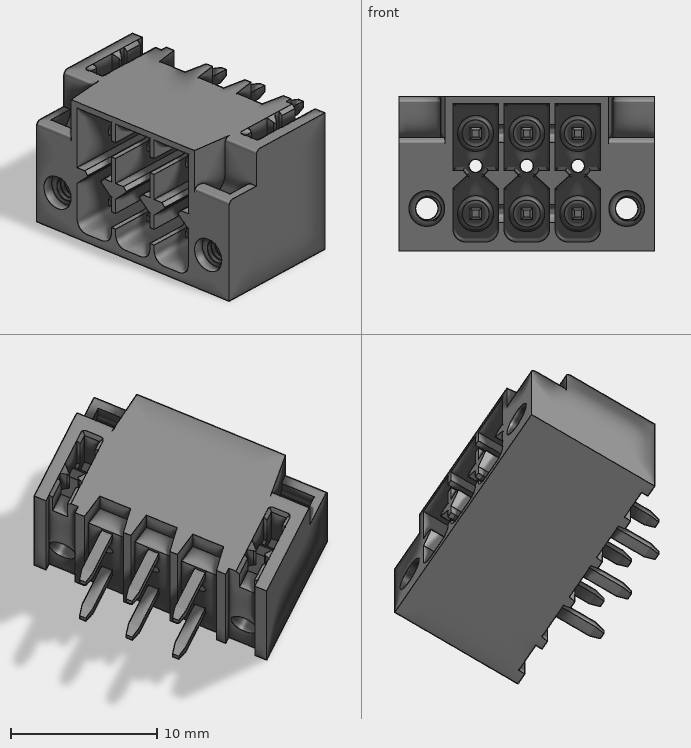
import cadquery as cq

WIDTH = 17.5
DEPTH = 10.0
HEIGHT = 10.6
HALF_WIDTH = WIDTH / 2

COLUMN_PITCH = 3.5
COLUMN_XS = [-COLUMN_PITCH, 0.0, COLUMN_PITCH]
LOWER_PIN_Z = 2.57
ROW_PITCH = 5.5
PIN_ZS = [LOWER_PIN_Z, LOWER_PIN_Z + ROW_PITCH]

PIN_SIZE = 0.8
PIN_TIP_SIZE = 0.47
PIN_TIP_LENGTH = 0.79
PIN_FRONT_Y = 1.75
PIN_BACK_Y = 13.5

CAVITY_DEPTH = 7.0
CAVITY_HALF_WIDTH = 1.55
CAVITY_BOTTOM_Z = 0.63
CAVITY_TOP_Z = 10.13
CAVITY_CORNER_RADIUS = 0.9
CAVITY_FLOOR_FILLET = 0.25
NECK_LEDGE_HALF_GAP = 0.85
NECK_TIP_HALF_GAP = 0.6
NECK_LEDGE_Z = 5.51
NECK_TIP_TOP_Z = 5.23
NECK_TIP_BOTTOM_Z = 5.16
NECK_FOOT_Z = 4.29
VENT_DIAMETER = 0.9
VENT_Z = 5.85

BOSS_DIAMETER = 1.84
BOSS_HEIGHT = 0.7
BOSS_FILLET = 0.32

WALL_SLOT_WIDTH = 1.22
WALL_SLOT_DEPTH = 3.85

NOTCH_DEPTH = 2.84
NOTCH_HEIGHT = 2.8
NOTCH_WIDTH_FRONT = 3.15
NOTCH_WIDTH_BACK = 2.84
NOTCH_EDGE_RADIUS = 0.42
NOTCH_FLOOR_Z = HEIGHT - NOTCH_HEIGHT

TROUGH_OUTER_WALL = 0.61
TROUGH_RADIUS = 1.42
TROUGH_FLOOR_Z = NOTCH_FLOOR_Z - TROUGH_RADIUS
TROUGH_FLOOR_FRONT_Y = 1.36
TROUGH_STEP_Y = 1.07
TROUGH_STEP_RISE = 0.25
TROUGH_FRONT_Y = 0.8
TROUGH_FRONT_RISE = 0.61
TROUGH_CURVE_SAG = 0.05

INSERT_X = 6.85
INSERT_Z = 2.92
INSERT_DIAMETER = 2.45
INSERT_FRONT_Y = TROUGH_FRONT_Y
INSERT_LENGTH = NOTCH_DEPTH - INSERT_FRONT_Y
INSERT_BORE = 1.52
THREAD_DIAMETER = 2.0
THREAD_PITCH = 0.4
THREAD_HALF_MOUTH = 0.18
THREAD_OVERLAP = 0.02
THREAD_START_ANGLE = 0.0

BACK_RECESS = 0.5
RECESS_Y = DEPTH - BACK_RECESS
SIDE_WALL = 0.9
END_RIB_START = 3.08
PIN_NOTCH_DEPTH = 1.85
PIN_NOTCH_FLOOR_Z = 8.75
PIN_NOTCH_HALF_MOUTH = 1.47
PIN_NOTCH_HALF_FLOOR = 1.15

TOP_SLOT_WIDTH = 1.65
TOP_SLOT_FRONT_Y = 3.97
TOP_SLOT_CORNER_RADIUS = 0.26
TOP_SLOT_CHAMFER = 0.26
GUIDE_FLOOR_Z = 8.4
BAY_BACK_Y = 8.1
BAY_STEP_Y = 6.5
BAY_RAMP_TOP_Y = 5.65
BAY_RAMP_FOOT_Y = 5.3
BAY_FRONT_Y = 4.94
BAY_BACK_FLOOR_Z = 8.05
BAY_MID_FLOOR_Z = 7.7
BAY_FRONT_FLOOR_Z = 7.18
WELL_FLOOR_Z = 6.3

BUMP_Y = 7.26
BUMP_LENGTH = 0.84
BUMP_HEIGHT = 0.49
BUMP_SHOULDER = 0.75 * BUMP_HEIGHT
BUMP_TIP_LENGTH = 0.25


def box(x_range, y_range, z_range):
    """Axis-aligned block between the given limits."""
    sizes = [high - low for low, high in (x_range, y_range, z_range)]
    corner = (x_range[0], y_range[0], z_range[0])
    return cq.Workplane("XY").box(*sizes, centered=False).translate(corner)


def rod(diameter, x, z, y_start, y_end):
    """Cylinder along Y."""
    base = cq.Workplane("XZ", origin=(x, y_start, z))
    return base.circle(diameter / 2).extrude(y_start - y_end)


def leaning_plan():
    """Full-height block beside the shell, with the leaning side wall of the left notch."""
    outer_x = -HALF_WIDTH
    front_x = outer_x + NOTCH_WIDTH_FRONT
    back_y = NOTCH_DEPTH + NOTCH_EDGE_RADIUS
    back_x = front_x - (NOTCH_WIDTH_FRONT - NOTCH_WIDTH_BACK) * back_y / NOTCH_DEPTH
    return (
        cq.Workplane("XY")
        .polyline([(outer_x, 0), (front_x, 0), (back_x, back_y), (outer_x, back_y)])
        .close()
        .extrude(HEIGHT)
    )


def corner_notch():
    """Left notch, which leaves the front edge of its floor and the top edge of its back wall round."""
    radius = NOTCH_EDGE_RADIUS
    profile = (
        cq.Workplane("YZ", origin=(-HALF_WIDTH, 0, 0))
        .moveTo(0, NOTCH_FLOOR_Z - radius)
        .radiusArc((radius, NOTCH_FLOOR_Z), radius)
        .lineTo(NOTCH_DEPTH, NOTCH_FLOOR_Z)
        .lineTo(NOTCH_DEPTH, HEIGHT - radius)
        .radiusArc((NOTCH_DEPTH + radius, HEIGHT), radius)
        .lineTo(0, HEIGHT)
        .close()
        .extrude(HALF_WIDTH)
    )
    return profile.intersect(leaning_plan())


def trough():
    """Trough in the left notch floor: round back, two small hollow steps up to its front wall."""
    step_z = TROUGH_FLOOR_Z + TROUGH_STEP_RISE
    front_z = TROUGH_FLOOR_Z + TROUGH_FRONT_RISE
    profile = (
        cq.Workplane("YZ", origin=(-HALF_WIDTH + TROUGH_OUTER_WALL, 0, 0))
        .moveTo(NOTCH_DEPTH, NOTCH_FLOOR_Z)
        .radiusArc((NOTCH_DEPTH - TROUGH_RADIUS, TROUGH_FLOOR_Z), TROUGH_RADIUS)
        .lineTo(TROUGH_FLOOR_FRONT_Y, TROUGH_FLOOR_Z)
        .sagittaArc((TROUGH_STEP_Y, step_z), TROUGH_CURVE_SAG)
        .sagittaArc((TROUGH_FRONT_Y, front_z), TROUGH_CURVE_SAG)
        .lineTo(TROUGH_FRONT_Y, NOTCH_FLOOR_Z)
        .close()
        .extrude(HALF_WIDTH)
    )
    return profile.intersect(leaning_plan())


def cavity():
    """Cavity of one column, waisted by two necks between its upper and lower chamber."""
    right_side = [
        (CAVITY_HALF_WIDTH, NECK_FOOT_Z),
        (NECK_TIP_HALF_GAP, NECK_TIP_BOTTOM_Z),
        (NECK_TIP_HALF_GAP, NECK_TIP_TOP_Z),
        (NECK_LEDGE_HALF_GAP, NECK_LEDGE_Z),
        (CAVITY_HALF_WIDTH, NECK_LEDGE_Z),
        (CAVITY_HALF_WIDTH, CAVITY_TOP_Z),
    ]
    left_side = [(-x, z) for x, z in reversed(right_side)]
    radius = CAVITY_CORNER_RADIUS
    arc_end_x = CAVITY_HALF_WIDTH - radius
    arc_end_z = CAVITY_BOTTOM_Z + radius
    chamber = (
        cq.Workplane("XZ")
        .moveTo(-arc_end_x, CAVITY_BOTTOM_Z)
        .lineTo(arc_end_x, CAVITY_BOTTOM_Z)
        .radiusArc((CAVITY_HALF_WIDTH, arc_end_z), -radius)
        .polyline(right_side + left_side, includeCurrent=True)
        .lineTo(-CAVITY_HALF_WIDTH, arc_end_z)
        .radiusArc((-arc_end_x, CAVITY_BOTTOM_Z), -radius)
        .close()
        .extrude(-CAVITY_DEPTH)
        .faces(">Y")
        .edges()
        .fillet(CAVITY_FLOOR_FILLET)
    )
    for pin_z in PIN_ZS:
        chamber = chamber.cut(boss(pin_z))
    return chamber.union(rod(VENT_DIAMETER, 0, VENT_Z, CAVITY_DEPTH / 2, DEPTH))


def boss(pin_z):
    """Round boss on the cavity floor, flared into the floor by a hollow fillet."""
    radius = BOSS_DIAMETER / 2
    top_y = CAVITY_DEPTH - BOSS_HEIGHT
    flare_y = CAVITY_DEPTH - BOSS_FILLET
    return (
        cq.Workplane("XY")
        .moveTo(0, top_y)
        .lineTo(radius, top_y)
        .lineTo(radius, flare_y)
        .radiusArc((radius + BOSS_FILLET, CAVITY_DEPTH), -BOSS_FILLET)
        .lineTo(0, CAVITY_DEPTH)
        .close()
        .revolve(360, (0, 0, 0), (0, 1, 0))
        .translate((0, 0, pin_z))
    )


def wall_slot(pin_z):
    """Round-ended slot through the walls between the cavities at one pin row."""
    radius = WALL_SLOT_WIDTH / 2
    straight_end = WALL_SLOT_DEPTH - radius
    return (
        cq.Workplane("YZ", origin=(-COLUMN_PITCH, 0, 0))
        .moveTo(0, pin_z - radius)
        .lineTo(straight_end, pin_z - radius)
        .threePointArc((WALL_SLOT_DEPTH, pin_z), (straight_end, pin_z + radius))
        .lineTo(0, pin_z + radius)
        .close()
        .extrude(2 * COLUMN_PITCH)
    )


def pin_notch():
    """Tapered notch in the top of the back, over one pin column."""
    floor_y = DEPTH - PIN_NOTCH_DEPTH
    plan = [
        (-PIN_NOTCH_HALF_MOUTH, DEPTH),
        (-PIN_NOTCH_HALF_FLOOR, floor_y),
        (PIN_NOTCH_HALF_FLOOR, floor_y),
        (PIN_NOTCH_HALF_MOUTH, DEPTH),
    ]
    full_height = cq.Workplane("XY").polyline(plan).close().extrude(HEIGHT)
    everywhere = (-HALF_WIDTH, HALF_WIDTH)
    upper = box(everywhere, (0, DEPTH), (PIN_NOTCH_FLOOR_Z, HEIGHT))
    recess = box(everywhere, (RECESS_Y, DEPTH), (0, HEIGHT))
    return full_height.intersect(upper.union(recess))


def bump(slot_wall_x, direction):
    """Snap bump with a round nose and a top sloping down from the slot wall."""
    half_length = BUMP_LENGTH / 2
    half_tip = BUMP_TIP_LENGTH / 2
    shoulder_x = direction * BUMP_SHOULDER
    tip_x = direction * BUMP_HEIGHT
    nose = (
        cq.Workplane("XY")
        .moveTo(0, BUMP_Y - half_length)
        .lineTo(shoulder_x, BUMP_Y - half_tip)
        .threePointArc((tip_x, BUMP_Y), (shoulder_x, BUMP_Y + half_tip))
        .lineTo(0, BUMP_Y + half_length)
        .close()
        .extrude(HEIGHT)
    )
    slope = (
        cq.Workplane("XZ", origin=(0, BUMP_Y + half_length, 0))
        .polyline([
            (0, BAY_BACK_FLOOR_Z - BUMP_HEIGHT),
            (tip_x, BAY_BACK_FLOOR_Z - BUMP_HEIGHT),
            (tip_x, HEIGHT - BUMP_HEIGHT),
            (0, HEIGHT),
        ])
        .close()
        .extrude(BUMP_LENGTH)
    )
    return nose.intersect(slope).translate((slot_wall_x, 0, 0))


def top_slot():
    """Left top slot: chamfered guide at the back, wide bay with a stepped floor, narrow front well."""
    left_x = -HALF_WIDTH + SIDE_WALL
    right_x = left_x + TOP_SLOT_WIDTH
    guide_x = (left_x + TOP_SLOT_CHAMFER, right_x - TOP_SLOT_CHAMFER)
    rim_z = HEIGHT - TOP_SLOT_CHAMFER

    guide = box(guide_x, (BAY_BACK_Y, DEPTH), (GUIDE_FLOOR_Z, HEIGHT))
    guide_rim = slot_rim(left_x, right_x, BAY_BACK_Y, DEPTH)
    bay = (
        cq.Workplane("YZ", origin=(left_x, 0, 0))
        .polyline([
            (BAY_BACK_Y, HEIGHT),
            (BAY_BACK_Y, BAY_BACK_FLOOR_Z),
            (BAY_STEP_Y, BAY_BACK_FLOOR_Z),
            (BAY_STEP_Y, BAY_MID_FLOOR_Z),
            (BAY_RAMP_TOP_Y, BAY_MID_FLOOR_Z),
            (BAY_RAMP_FOOT_Y, BAY_FRONT_FLOOR_Z),
            (BAY_FRONT_Y, BAY_FRONT_FLOOR_Z),
            (BAY_FRONT_Y, HEIGHT),
        ])
        .close()
        .extrude(TOP_SLOT_WIDTH)
        .cut(bump(left_x, 1))
        .cut(bump(right_x, -1))
    )
    well_front_y = TOP_SLOT_FRONT_Y + TOP_SLOT_CHAMFER
    well = box(guide_x, (well_front_y, BAY_RAMP_FOOT_Y), (WELL_FLOOR_Z, HEIGHT))
    front_slope = (
        cq.Workplane("YZ", origin=(left_x, 0, 0))
        .polyline([(TOP_SLOT_FRONT_Y, HEIGHT), (well_front_y, rim_z), (TOP_SLOT_FRONT_Y, rim_z)])
        .close()
        .extrude(TOP_SLOT_WIDTH)
    )
    well_rim = (
        box((left_x, right_x), (TOP_SLOT_FRONT_Y, BAY_FRONT_Y), (rim_z, HEIGHT))
        .edges("|Z and <Y")
        .fillet(TOP_SLOT_CORNER_RADIUS)
        .intersect(slot_rim(left_x, right_x, TOP_SLOT_FRONT_Y, BAY_FRONT_Y))
        .cut(front_slope)
    )
    return guide.union(guide_rim).union(bay).union(well).union(well_rim)


def slot_rim(left_x, right_x, front_y, back_y):
    """Chamfers along both long edges of a slot in the top face."""
    rim_z = HEIGHT - TOP_SLOT_CHAMFER
    return (
        cq.Workplane("XZ", origin=(0, back_y, 0))
        .polyline([
            (left_x, HEIGHT),
            (left_x + TOP_SLOT_CHAMFER, rim_z),
            (right_x - TOP_SLOT_CHAMFER, rim_z),
            (right_x, HEIGHT),
        ])
        .close()
        .extrude(back_y - front_y)
    )


def insert_seat():
    """Left hole for a threaded insert, with a clearance hole on to the back."""
    seat = rod(INSERT_DIAMETER, -INSERT_X, INSERT_Z, 0, INSERT_FRONT_Y + INSERT_LENGTH)
    return seat.union(rod(THREAD_DIAMETER, -INSERT_X, INSERT_Z, 0, DEPTH))


def build_housing():
    """Housing with all its recesses, and a matching hole for every pin and insert."""
    body = box((-HALF_WIDTH, HALF_WIDTH), (0, DEPTH), (0, HEIGHT))
    end_recess_x = (-HALF_WIDTH + SIDE_WALL, -HALF_WIDTH + END_RIB_START)
    end_recess = box(end_recess_x, (RECESS_Y, DEPTH), (0, HEIGHT))
    for side_cut in [corner_notch(), trough(), top_slot(), end_recess, insert_seat()]:
        body = body.cut(side_cut).cut(side_cut.mirror("YZ"))
    for x in COLUMN_XS:
        body = body.cut(cavity().translate((x, 0, 0)))
        body = body.cut(pin_notch().translate((x, 0, 0)))
    for z in PIN_ZS:
        body = body.cut(wall_slot(z))
    for x in COLUMN_XS:
        for z in PIN_ZS:
            body = body.cut(build_pin(x, z))
    return body


def build_pin(x, z):
    """Square pin with a tapered tip at either end."""
    shank_front_y = PIN_FRONT_Y + PIN_TIP_LENGTH
    shank_back_y = PIN_BACK_Y - PIN_TIP_LENGTH
    half = PIN_SIZE / 2
    pin = box((-half, half), (shank_front_y, shank_back_y), (-half, half))
    for start_y, end_y in [(shank_front_y, PIN_FRONT_Y), (shank_back_y, PIN_BACK_Y)]:
        tip = (
            cq.Workplane("XZ", origin=(0, start_y, 0))
            .rect(PIN_SIZE, PIN_SIZE)
            .workplane(offset=start_y - end_y)
            .rect(PIN_TIP_SIZE, PIN_TIP_SIZE)
            .loft(ruled=True)
        )
        pin = pin.union(tip)
    return pin.translate((x, 0, z))


def build_insert(x):
    """Round insert with a V-shaped internal thread."""
    groove_depth = (THREAD_DIAMETER - INSERT_BORE) / 2
    root = THREAD_DIAMETER / 2
    crest = INSERT_BORE / 2 - THREAD_OVERLAP
    half_mouth = THREAD_HALF_MOUTH * (1 + THREAD_OVERLAP / groove_depth)
    path = cq.Wire.makeHelix(THREAD_PITCH, INSERT_LENGTH + 2 * THREAD_PITCH, INSERT_BORE / 2)
    thread = (
        cq.Workplane("XZ")
        .polyline([(crest, -half_mouth), (root, 0), (crest, half_mouth)])
        .close()
        .sweep(cq.Workplane(obj=path), isFrenet=True)
        .translate((0, 0, -THREAD_PITCH))
        .rotate((0, 0, 0), (0, 0, 1), THREAD_START_ANGLE)
    )
    blank = cq.Workplane("XY").circle(INSERT_DIAMETER / 2).circle(INSERT_BORE / 2).extrude(INSERT_LENGTH)
    threaded = blank.cut(thread).rotate((0, 0, 0), (1, 0, 0), -90)
    return threaded.translate((x, INSERT_FRONT_Y, INSERT_Z))


housing = build_housing()
pins = [build_pin(x, z) for x in COLUMN_XS for z in PIN_ZS]
inserts = [build_insert(x) for x in (-INSERT_X, INSERT_X)]

bodies = [housing, *pins, *inserts]
result = cq.Compound.makeCompound([solid for body in bodies for solid in body.solids().vals()])